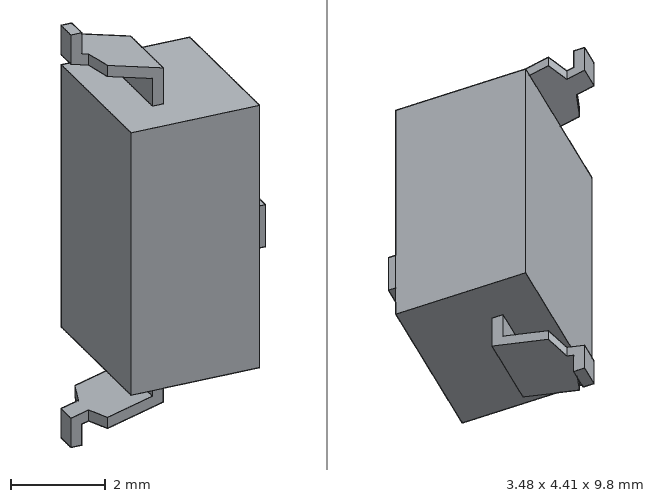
import cadquery as cq

body_width = 3.48
body_depth = 3.0
body_height = 6.23

stud_width = 1.1
stud_height = 1.0
stud_length = 0.7
stud_center_z = -0.45

overall_height = 9.8
lead_thickness = 0.25
lead_width = 1.63
tip_width = 0.5
tip_overhang = 0.71
lead_run = 1.89
outer_knee_drop = 0.93
inner_tip_drop = 0.5
taper_start = 0.59
taper_end = 0.41

top_z = overall_height / 2
body_top_z = body_height / 2
tip_face_y = -body_depth / 2 - tip_overhang
root_face_y = tip_face_y + lead_run

web_run = lead_run - lead_thickness
web_rise = outer_knee_drop - inner_tip_drop
web_slope = web_rise / web_run
web_vertical_thickness = lead_thickness * (1 + web_slope**2) ** 0.5
bend_drop = web_vertical_thickness - web_slope * lead_thickness


def make_body():
    return cq.Workplane("XY").box(body_width, body_depth, body_height)


def make_stud():
    return (
        cq.Workplane("XY")
        .box(stud_width, stud_length, stud_height)
        .translate((0, (body_depth + stud_length) / 2, stud_center_z))
    )


def make_top_lead():
    """Z-bent strip whose plan outline narrows to the tip."""
    bent_strip = (
        cq.Workplane("YZ")
        .polyline([
            (root_face_y, body_top_z),
            (root_face_y, top_z - outer_knee_drop),
            (tip_face_y + lead_thickness, top_z - inner_tip_drop),
            (tip_face_y + lead_thickness, top_z),
            (tip_face_y, top_z),
            (tip_face_y, top_z - inner_tip_drop - bend_drop),
            (root_face_y - lead_thickness, top_z - outer_knee_drop - bend_drop),
            (root_face_y - lead_thickness, body_top_z),
        ])
        .close()
        .extrude(lead_width / 2, both=True)
    )
    plan_outline = (
        cq.Workplane("XY", origin=(0, 0, body_top_z))
        .polyline([
            (-lead_width / 2, root_face_y),
            (-lead_width / 2, tip_face_y + taper_start),
            (-tip_width / 2, tip_face_y + taper_end),
            (-tip_width / 2, tip_face_y),
            (tip_width / 2, tip_face_y),
            (tip_width / 2, tip_face_y + taper_end),
            (lead_width / 2, tip_face_y + taper_start),
            (lead_width / 2, root_face_y),
        ])
        .close()
        .extrude(top_z - body_top_z)
    )
    return bent_strip.intersect(plan_outline)


top_lead = make_top_lead()
bottom_lead = top_lead.mirror("XY")
result = make_body().union(make_stud()).union(top_lead).union(bottom_lead)